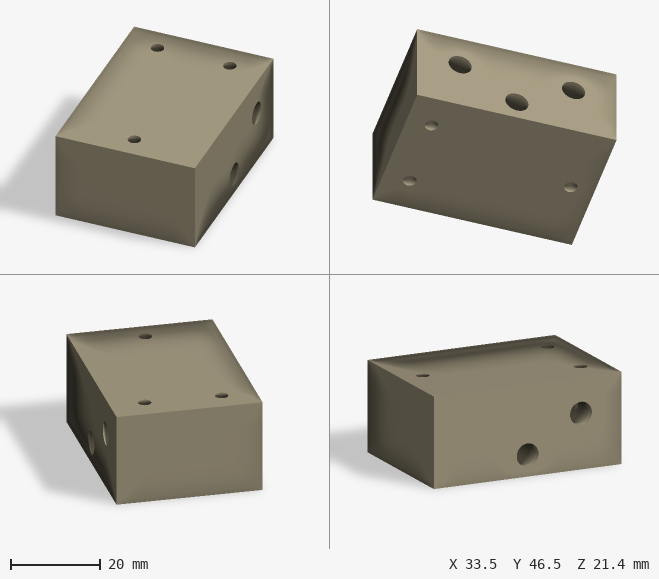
import cadquery as cq

width = 33.53
length = 46.5
height = 21.4

mount_diameter = 3.0
mount_side_offset = 8.8
mount_points = [
    (-mount_side_offset, 17.45),
    (mount_side_offset, 17.0),
    (0, -17.8),
]

bore_diameter = 5.4
bore_spacing = 26.45
upper_bore_z = 2.3
lower_bore_z = -5.7
blind_bore_depth = width / 2


def cross_bore(y, z, depth):
    """Cylinder entering the block from its -X face."""
    start = cq.Vector(-width / 2, y, z)
    return cq.Workplane(cq.Solid.makeCylinder(bore_diameter / 2, depth, start, cq.Vector(1, 0, 0)))


block = cq.Workplane("XY").box(width, length, height)
block = block.faces(">Z").workplane(origin=(0, 0, 0)).pushPoints(mount_points).hole(mount_diameter)

block = block.cut(cross_bore(bore_spacing / 2, upper_bore_z, width))
block = block.cut(cross_bore(0, lower_bore_z, width))
result = block.cut(cross_bore(-bore_spacing / 2, upper_bore_z, blind_bore_depth))